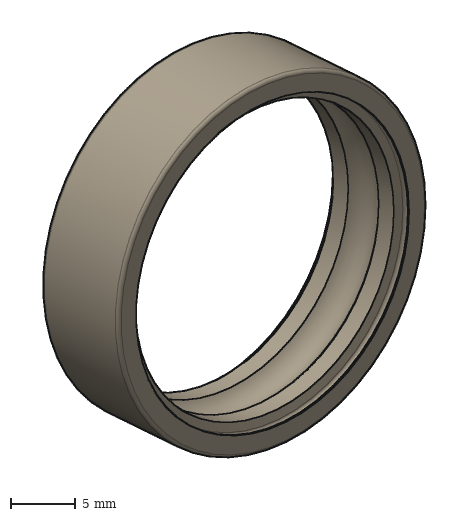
import cadquery as cq

width = 9.0
outer_radius = 16.0
edge_fillet = 0.32

land_radius = 13.35
raceway_width = 3.6
raceway_depth = 1.0

lip_radius = 14.1
lip_width = 0.15
shield_groove_width = 0.6
cone_length = 0.15

half_width = width / 2
half_raceway = raceway_width / 2
lip_end = half_width - lip_width
shield_groove_end = lip_end - shield_groove_width
shield_groove_middle = (lip_end + shield_groove_end) / 2
shield_groove_bottom = lip_radius + shield_groove_width / 2
land_end = shield_groove_end - cone_length

section = (
    cq.Workplane("XY")
    .moveTo(-half_width, outer_radius)
    .lineTo(-half_width, lip_radius)
    .lineTo(-lip_end, lip_radius)
    .threePointArc((-shield_groove_middle, shield_groove_bottom), (-shield_groove_end, lip_radius))
    .lineTo(-land_end, land_radius)
    .lineTo(-half_raceway, land_radius)
    .threePointArc((0, land_radius + raceway_depth), (half_raceway, land_radius))
    .lineTo(land_end, land_radius)
    .lineTo(shield_groove_end, lip_radius)
    .threePointArc((shield_groove_middle, shield_groove_bottom), (lip_end, lip_radius))
    .lineTo(half_width, lip_radius)
    .lineTo(half_width, outer_radius)
    .close()
)
ring = section.revolve(360, (0, 0, 0), (1, 0, 0))

outer_rims = cq.selectors.RadiusNthSelector(-1)
result = ring.edges("%CIRCLE").edges(outer_rims).fillet(edge_fillet)